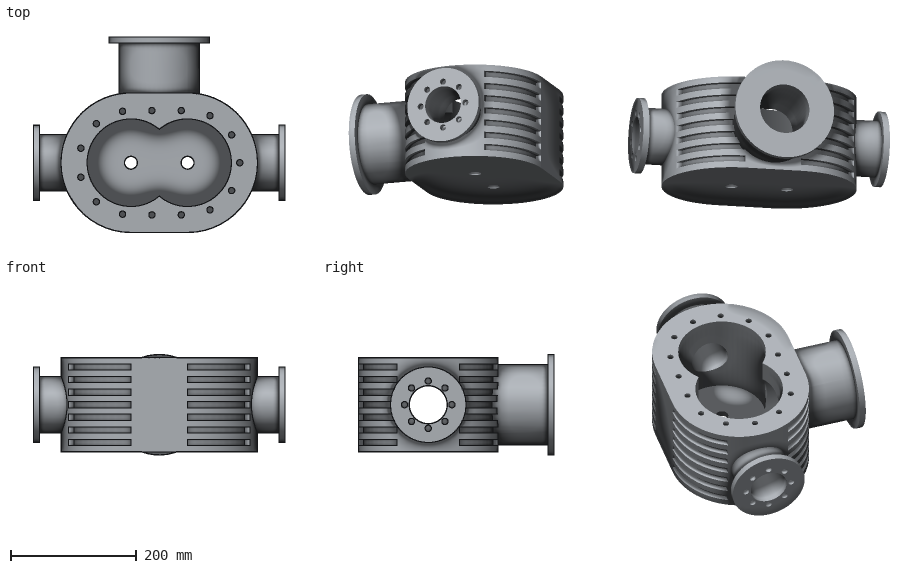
import cadquery as cq
import math

bore_spacing = 90.0
bore_diameter = 139.0
body_width = 222.0
body_height = 150.0
floor_thickness = 10.0
shaft_hole_diameter = 20.0

cover_bolt_count = 15
cover_bolt_diameter = 10.0
cover_bolt_depth = 20.0
cover_bolt_radius = 83.0

groove_count = 7
groove_height = body_height / (2 * groove_count + 1)
groove_depth = 8.0
groove_end_y = 50.0

port_reach = 200.0
flange_thickness = 10.0
side_flange_diameter = 120.0
side_neck_diameter = 90.0
side_bore_diameter = 60.0
rear_flange_diameter = 160.0
rear_neck_diameter = 128.0
rear_bore_diameter = 80.0

flange_bolt_count = 8
flange_bolt_diameter = 10.0
flange_bolt_circle = 75.0

half_spacing = bore_spacing / 2
body_radius = body_width / 2
body_top = body_height / 2
body_bottom = -body_top


def racetrack(width, height, bottom):
    """Upright solid with straight sides along X and a half circle at each end."""
    plan = cq.Workplane("XY").workplane(offset=bottom).slot2D(bore_spacing + width, width)
    return plan.extrude(height)


def twin_bores():
    """Overlapping bores open at the top, each with a shaft hole through the floor."""
    bore_centres = [(-half_spacing, 0), (half_spacing, 0)]
    cutter = cq.Workplane("XY")
    for centre in bore_centres:
        bore = (
            cq.Workplane("XY", origin=(*centre, body_bottom + floor_thickness))
            .circle(bore_diameter / 2)
            .extrude(body_height - floor_thickness)
        )
        cutter = cutter.union(bore)
    shaft_holes = (
        cq.Workplane("XY", origin=(0, 0, body_bottom))
        .pushPoints(bore_centres)
        .circle(shaft_hole_diameter / 2)
        .extrude(body_height)
    )
    return cutter.union(shaft_holes)


def cooling_grooves():
    """Stacked grooves cut into the round corners, clear of the flats and side ports."""
    corner_x = body_radius
    corner_y = body_radius - groove_end_y
    corners = (
        cq.Workplane("XY")
        .pushPoints([
            (sx * (half_spacing + corner_x / 2), sy * (groove_end_y + corner_y / 2))
            for sx in (-1, 1)
            for sy in (-1, 1)
        ])
        .box(corner_x, corner_y, body_height)
    )
    rings = cq.Workplane("XY")
    for index in range(groove_count):
        bottom = body_bottom + groove_height * (2 * index + 1)
        ring = racetrack(body_width, groove_height, bottom).cut(
            racetrack(body_width - 2 * groove_depth, groove_height, bottom)
        )
        rings = rings.union(ring)
    return rings.intersect(corners)


def racetrack_point(distance, radius):
    """Point on a racetrack path, counter-clockwise from its +X tip."""
    quarter = math.pi * radius / 2
    straight_end = quarter + bore_spacing
    if distance <= quarter:
        angle = distance / radius
        return half_spacing + radius * math.cos(angle), radius * math.sin(angle)
    if distance <= straight_end:
        return half_spacing - (distance - quarter), radius
    angle = math.pi / 2 + (distance - straight_end) / radius
    return -half_spacing + radius * math.cos(angle), radius * math.sin(angle)


def cover_bolt_holes():
    """Blind holes in the top face; the path is mirrored about the X axis."""
    path_length = 2 * math.pi * cover_bolt_radius + 2 * bore_spacing
    pitch = path_length / cover_bolt_count
    points = [(half_spacing + cover_bolt_radius, 0)]
    for index in range(1, cover_bolt_count // 2 + 1):
        x, y = racetrack_point(index * pitch, cover_bolt_radius)
        points += [(x, y), (x, -y)]
    return (
        cq.Workplane("XY", origin=(0, 0, body_top))
        .pushPoints(points)
        .circle(cover_bolt_diameter / 2)
        .extrude(-cover_bolt_depth)
    )


def outward_plane(direction):
    """Plane through the body centre facing along a port, with local Y pointing up."""
    x_axis = cq.Vector(0, 0, 1).cross(cq.Vector(*direction))
    return cq.Plane(origin=(0, 0, 0), xDir=x_axis, normal=direction)


def port(direction, neck_diameter, flange_diameter):
    """Neck from the body centre outwards, ending in a round flange."""
    plane = outward_plane(direction)
    neck = cq.Workplane(plane).circle(neck_diameter / 2).extrude(port_reach)
    flange = (
        cq.Workplane(plane)
        .workplane(offset=port_reach - flange_thickness)
        .circle(flange_diameter / 2)
        .extrude(flange_thickness)
    )
    return neck.union(flange)


def port_bore(direction, diameter):
    """Passage from the body centre out through the flange."""
    return cq.Workplane(outward_plane(direction)).circle(diameter / 2).extrude(port_reach)


def flange_bolt_holes(direction):
    """Ring of holes, as deep as the flange is thick."""
    return (
        cq.Workplane(outward_plane(direction))
        .workplane(offset=port_reach)
        .polarArray(flange_bolt_circle / 2, 0, 360, flange_bolt_count)
        .circle(flange_bolt_diameter / 2)
        .extrude(-flange_thickness)
    )


side_directions = [(-1, 0, 0), (1, 0, 0)]
rear_direction = (0, 1, 0)

result = racetrack(body_width, body_height, body_bottom).cut(cooling_grooves())
for side in side_directions:
    result = result.union(port(side, side_neck_diameter, side_flange_diameter))
result = result.union(port(rear_direction, rear_neck_diameter, rear_flange_diameter))

result = result.cut(twin_bores()).cut(cover_bolt_holes())
for side in side_directions:
    result = result.cut(port_bore(side, side_bore_diameter)).cut(flange_bolt_holes(side))
result = result.cut(port_bore(rear_direction, rear_bore_diameter))